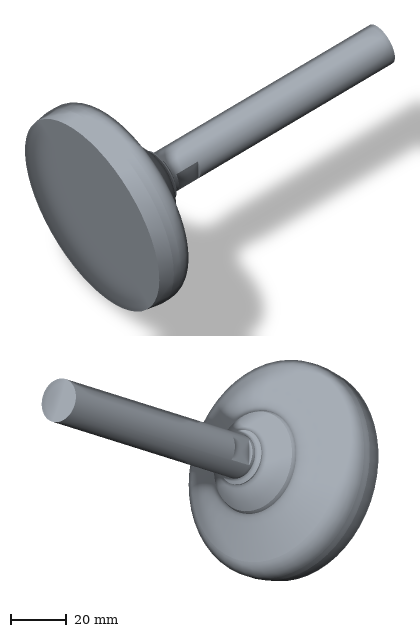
import cadquery as cq
import math

total_length = 131.5
base_y = -total_length / 2

foot_radius = 40.0
underside_radius = 39.0
rim_bottom_height = 5.9
rim_top_height = 9.1
shoulder_round = 7.2
shoulder_end_angle = 69.0
cone_top_radius = 19.0
cone_top_height = 21.8
seat_radius = 18.3
seat_height = 23.4

dome_sphere_radius = 24.3
collar_radius = 10.0
collar_top_height = 30.6
collar_thickness = 0.5
stem_radius = 8.0
stem_start_height = 31.7
flat_start_height = 33.3
flat_end_height = 43.0
across_flats = 13.0


def revolve_about_y(profile):
    """Revolve a closed radius-height profile and set its zero height at the underside."""
    return profile.close().revolve(360, (0, 0, 0), (0, 1, 0)).translate((0, base_y, 0))


def make_foot():
    """Round foot plate with a tapered skirt, rounded shoulder and conical top."""

    def shoulder_point(degrees):
        angle = math.radians(degrees)
        radius = foot_radius - shoulder_round * (1 - math.cos(angle))
        height = rim_top_height + shoulder_round * math.sin(angle)
        return radius, height

    profile = (
        cq.Workplane("XY")
        .lineTo(underside_radius, 0)
        .lineTo(foot_radius, rim_bottom_height)
        .lineTo(foot_radius, rim_top_height)
        .threePointArc(shoulder_point(shoulder_end_angle / 2), shoulder_point(shoulder_end_angle))
        .lineTo(cone_top_radius, cone_top_height)
        .lineTo(seat_radius, seat_height)
        .lineTo(0, seat_height)
    )
    return revolve_about_y(profile)


def make_spindle():
    """Domed spindle resting on the flat seat of the foot."""
    sphere_center = seat_height - math.sqrt(dome_sphere_radius**2 - seat_radius**2)

    def dome_height(radius):
        return sphere_center + math.sqrt(dome_sphere_radius**2 - radius**2)

    collar_bottom_height = collar_top_height - collar_thickness
    dome_top_radius = math.sqrt(dome_sphere_radius**2 - (collar_bottom_height - sphere_center) ** 2)
    dome_middle_radius = (seat_radius + dome_top_radius) / 2
    profile = (
        cq.Workplane("XY")
        .moveTo(0, seat_height)
        .lineTo(seat_radius, seat_height)
        .threePointArc(
            (dome_middle_radius, dome_height(dome_middle_radius)),
            (dome_top_radius, collar_bottom_height),
        )
        .lineTo(collar_radius, collar_bottom_height)
        .lineTo(collar_radius, collar_top_height)
        .lineTo(stem_radius, stem_start_height)
        .lineTo(stem_radius, total_length)
        .lineTo(0, total_length)
    )
    return cut_wrench_flats(revolve_about_y(profile))


def cut_wrench_flats(spindle):
    """Cut two parallel flats, facing -X and +X, into the lower stem."""
    flat_length = flat_end_height - flat_start_height
    flat_middle_y = base_y + (flat_start_height + flat_end_height) / 2
    cutter_depth = stem_radius
    for side in (-1, 1):
        cutter = cq.Workplane("XY").box(cutter_depth, flat_length, 2 * stem_radius)
        cutter_x = side * (across_flats + cutter_depth) / 2
        spindle = spindle.cut(cutter.translate((cutter_x, flat_middle_y, 0)))
    return spindle


foot = make_foot()
spindle = make_spindle()

result = cq.Compound.makeCompound([foot.val(), spindle.val()])